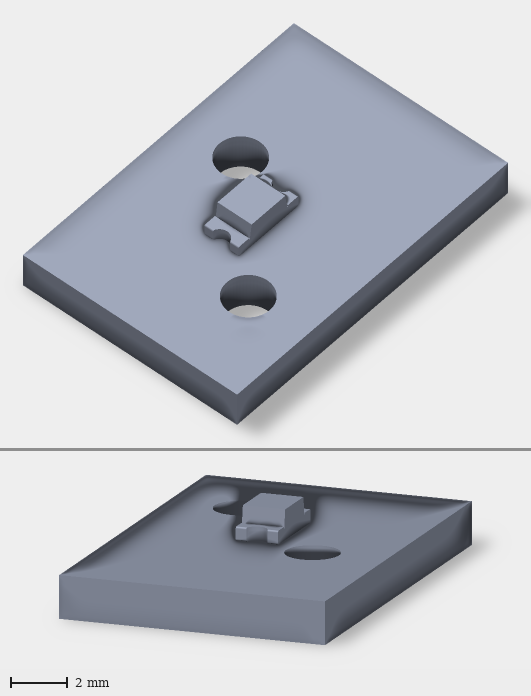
import cadquery as cq

BOARD_WIDTH = 10.0
BOARD_LENGTH = 14.5
BOARD_THICKNESS = 1.6
HOLE_DIAMETER = 2.0
HOLE_OFFSET_X = 2.25
UPPER_HOLE_Y = 1.25
LOWER_HOLE_Y = -3.5

CHIP_CENTER_Y = -0.75
STANDOFF = 0.05
CHIP_WIDTH = 1.6
CHIP_LENGTH = 3.2
CHIP_HEIGHT = 1.12

BASE_HEIGHT = 0.51
PLATING = 0.065
LIP_LENGTH = 0.57
NOTCH_WIDTH = 0.8
NOTCH_DEPTH = 0.3

LENS_FOOT_LENGTH = 1.99
LENS_TOP_LENGTH = 1.8
DIE_SIDE = 1.17

CHIP_BOTTOM = BOARD_THICKNESS + STANDOFF
CHIP_TOP = CHIP_BOTTOM + CHIP_HEIGHT
PLATING_TOP = CHIP_BOTTOM + BASE_HEIGHT
CORE_BOTTOM = CHIP_BOTTOM + PLATING
CORE_TOP = PLATING_TOP - PLATING
CORE_LENGTH = CHIP_LENGTH - 2 * PLATING
LIP_GAP = CHIP_LENGTH - 2 * LIP_LENGTH
NOTCH_RADIUS = ((NOTCH_WIDTH / 2) ** 2 + NOTCH_DEPTH**2) / (2 * NOTCH_DEPTH)
NOTCH_CENTER_OFFSET = CHIP_LENGTH / 2 - NOTCH_DEPTH + NOTCH_RADIUS
NOTCH_CENTERS = [
    (0, CHIP_CENTER_Y + NOTCH_CENTER_OFFSET),
    (0, CHIP_CENTER_Y - NOTCH_CENTER_OFFSET),
]


def chip_block(width, length, bottom, top):
    """Box centred on the chip's upright axis, reaching from bottom to top."""
    plane = cq.Workplane().workplane(offset=bottom).center(0, CHIP_CENTER_Y)
    return plane.rect(width, length).extrude(top - bottom)


def end_notches(radius):
    """Upright cylinders that cut the round notch in both ends of the chip."""
    plane = cq.Workplane().workplane(offset=CHIP_BOTTOM)
    return plane.pushPoints(NOTCH_CENTERS).circle(radius).extrude(BASE_HEIGHT)


def make_board():
    hole_centers = [(-HOLE_OFFSET_X, UPPER_HOLE_Y), (HOLE_OFFSET_X, LOWER_HOLE_Y)]
    holes = cq.Workplane().pushPoints(hole_centers).circle(HOLE_DIAMETER / 2).extrude(BOARD_THICKNESS)
    return cq.Workplane().rect(BOARD_WIDTH, BOARD_LENGTH).extrude(BOARD_THICKNESS).cut(holes)


def make_core():
    """Core of the base; its ends leave room for the plating, also around the notches."""
    core = chip_block(CHIP_WIDTH, CORE_LENGTH, CORE_BOTTOM, CORE_TOP)
    return core.cut(end_notches(NOTCH_RADIUS + PLATING))


def make_plating(core):
    """Thin shell around the core, rounded at the ends and open on top between its two lips."""
    shell = chip_block(CHIP_WIDTH, CHIP_LENGTH, CHIP_BOTTOM, PLATING_TOP)
    shell = shell.faces("<Y or >Y").edges("|X").fillet(PLATING)
    lip_opening = chip_block(CHIP_WIDTH, LIP_GAP, CORE_TOP, PLATING_TOP)
    return shell.cut(end_notches(NOTCH_RADIUS)).cut(core).cut(lip_opening)


def make_die():
    """Square die that stands on the core and ends flush with the top of the lens."""
    return chip_block(DIE_SIDE, DIE_SIDE, CORE_TOP, CHIP_TOP)


def make_lens(die):
    """Lens with a trapezoid side outline, standing on the core between the plating lips."""
    outline = [
        (CHIP_CENTER_Y - LENS_FOOT_LENGTH / 2, CORE_TOP),
        (CHIP_CENTER_Y + LENS_FOOT_LENGTH / 2, CORE_TOP),
        (CHIP_CENTER_Y + LENS_TOP_LENGTH / 2, CHIP_TOP),
        (CHIP_CENTER_Y - LENS_TOP_LENGTH / 2, CHIP_TOP),
    ]
    lens = cq.Workplane("YZ").polyline(outline).close().extrude(CHIP_WIDTH / 2, both=True)
    return lens.cut(die)


board = make_board()
core = make_core()
plating = make_plating(core)
die = make_die()
lens = make_lens(die)

result = cq.Compound.makeCompound([board.val(), core.val(), plating.val(), die.val(), lens.val()])